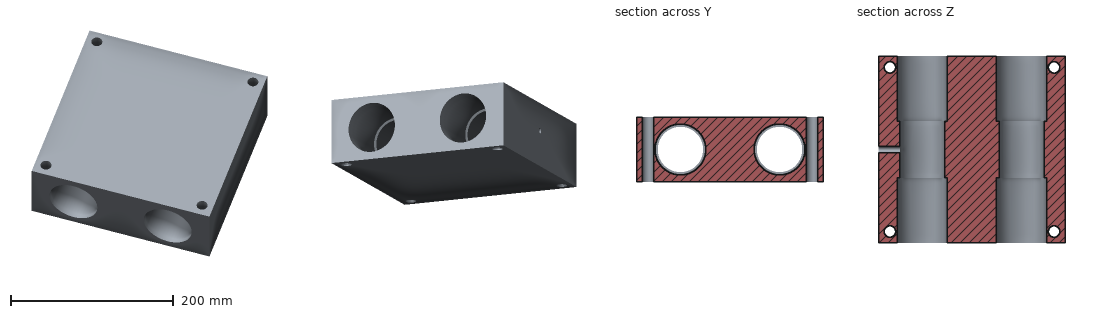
import cadquery as cq

length = 230.0
width = 230.0
height = 80.0

bore_diameter = 55.8
bore_seat_diameter = 62.0
bore_seat_depth = 80.0
bore_spacing = 122.0

mount_hole_diameter = 13.5
mount_hole_inset = 14.0

port_diameter = 6.92
port_height = 5.0


def make_block():
    return cq.Workplane("XY").box(length, width, height)


def make_stepped_bore(x):
    """Through bore along Y at the given x, with a wider seat at each end."""
    near_end = cq.Workplane("XZ", origin=(x, -width / 2, 0))
    far_end = cq.Workplane("XZ", origin=(x, width / 2, 0))
    through = near_end.circle(bore_diameter / 2).extrude(-width)
    near_seat = near_end.circle(bore_seat_diameter / 2).extrude(-bore_seat_depth)
    far_seat = far_end.circle(bore_seat_diameter / 2).extrude(bore_seat_depth)
    return through.union(near_seat).union(far_seat)


def make_mounting_holes():
    x_spacing = length - 2 * mount_hole_inset
    y_spacing = width - 2 * mount_hole_inset
    return (
        cq.Workplane("XY", origin=(0, 0, -height / 2))
        .rarray(x_spacing, y_spacing, 2, 2)
        .circle(mount_hole_diameter / 2)
        .extrude(height)
    )


def make_port():
    """Port drilled from the -X side as far as the axis of the nearer bore."""
    depth = (length - bore_spacing) / 2
    return (
        cq.Workplane("YZ", origin=(-length / 2, 0, port_height))
        .circle(port_diameter / 2)
        .extrude(depth)
    )


result = make_block()
for bore_x in (-bore_spacing / 2, bore_spacing / 2):
    result = result.cut(make_stepped_bore(bore_x))
result = result.cut(make_mounting_holes())
result = result.cut(make_port())